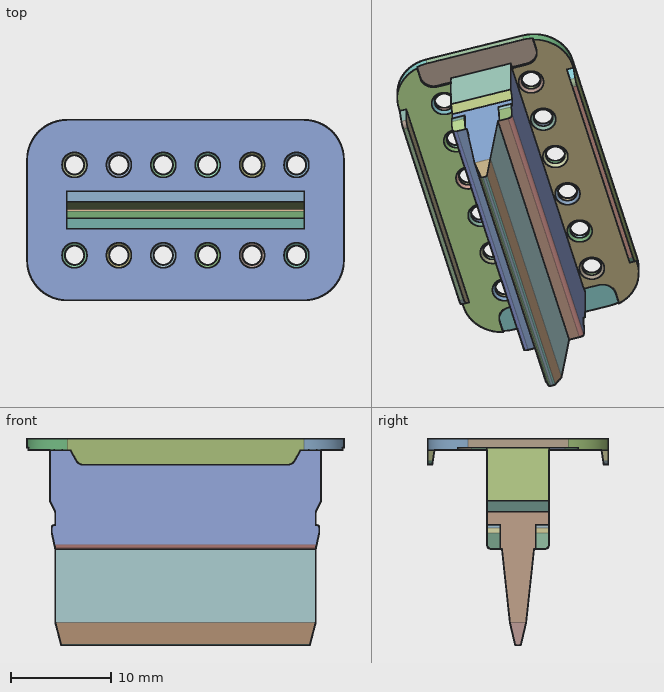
import cadquery as cq

PLATE_LENGTH = 31.6
PLATE_WIDTH = 18.0
PLATE_THICKNESS = 1.15
PLATE_CORNER_RADIUS = 4.0

HOLES_PER_ROW = 6
HOLE_PITCH = 4.42
ROW_SPACING = 9.0
HOLE_DIAMETER = 1.9
COUNTERSINK_DIAMETER = 2.5
COUNTERSINK_ANGLE = 90

RECESS_WIDTH = 12.0
RECESS_DEPTH = 0.25
RECESS_LENGTH = 2.72
RECESS_CORNER_RADIUS = 1.35

LIP_BOTTOM = -2.6
LIP_TOP_HALF_LENGTH = 11.47
LIP_BOTTOM_HALF_LENGTH = 10.65
LIP_ROOT_THICKNESS = 0.7
LIP_EDGE_THICKNESS = 0.47
LIP_CORNER_RADIUS = 0.8

BODY_HALF_LENGTH = 13.52
NECK_HALF_LENGTH = 13.0
BODY_HALF_WIDTH = 3.1
BODY_BOTTOM = -11.0
BODY_EDGE_RADIUS = 0.45
TAPER_TOP = -6.2
TAPER_BOTTOM = -7.3

BLADE_ROOT_HALF_WIDTH = 1.6
BLADE_END_HALF_WIDTH = 0.82
BLADE_SHOULDER = -18.3
TIP_HALF_LENGTH = 12.4
TIP_HALF_WIDTH = 0.3
TIP_BOTTOM = -20.6
TIP_RADIUS = 0.2

CATCH_TOP = -8.55
CATCH_TOP_DROP = 0.1
CATCH_CORNER_RADIUS = 0.3
CATCH_FLAT_BOTTOM = -9.4
CATCH_HALF_LENGTH = 13.35
CATCH_INNER_Y = 1.77

SLOT_LENGTH = 23.65
SLOT_WIDTH = 3.75
SLOT_DEPTH = 9.8
GROOVE_HALF_WIDTH = 0.82
GROOVE_DEPTH = 7.27
GROOVE_ROOT_RADIUS = 0.1


def mirrored_outline(plane, half_outline):
    """Closed outline from the right-hand points and their mirror image."""
    left_points = [(-u, v) for u, v in reversed(half_outline)]
    return cq.Workplane(plane).polyline(half_outline + left_points).close()


def make_plate():
    plate = (
        cq.Workplane("XY")
        .rect(PLATE_LENGTH, PLATE_WIDTH)
        .extrude(-PLATE_THICKNESS)
        .edges("|Z")
        .fillet(PLATE_CORNER_RADIUS)
    )
    for face in (">Z", "<Z"):
        plate = (
            plate.faces(face)
            .workplane(origin=(0, 0, 0))
            .rarray(HOLE_PITCH, ROW_SPACING, HOLES_PER_ROW, 2)
            .cskHole(HOLE_DIAMETER, COUNTERSINK_DIAMETER, COUNTERSINK_ANGLE)
        )
    recesses = (
        cq.Workplane("XY", origin=(0, 0, -PLATE_THICKNESS))
        .pushPoints([(-PLATE_LENGTH / 2, 0), (PLATE_LENGTH / 2, 0)])
        .rect(2 * RECESS_LENGTH, RECESS_WIDTH)
        .extrude(RECESS_DEPTH)
        .edges("|Z")
        .fillet(RECESS_CORNER_RADIUS)
    )
    return plate.cut(recesses)


def make_lip():
    """Lip on the -Y side: a wedge section trimmed to a trapezoid with rounded lower corners."""
    outer_y = -PLATE_WIDTH / 2
    section = (
        cq.Workplane("YZ")
        .polyline([
            (outer_y, -PLATE_THICKNESS),
            (outer_y + LIP_ROOT_THICKNESS, -PLATE_THICKNESS),
            (outer_y + LIP_EDGE_THICKNESS, LIP_BOTTOM),
            (outer_y, LIP_BOTTOM),
        ])
        .close()
        .extrude(LIP_TOP_HALF_LENGTH, both=True)
    )
    trim = (
        mirrored_outline("XZ", [
            (LIP_TOP_HALF_LENGTH, -PLATE_THICKNESS),
            (LIP_BOTTOM_HALF_LENGTH, LIP_BOTTOM),
        ])
        .extrude(PLATE_WIDTH / 2)
        .edges("|Y and <Z")
        .fillet(LIP_CORNER_RADIUS)
    )
    return section.intersect(trim)


def make_body():
    """Block whose ends taper in to the neck, the same length as the blade."""
    return (
        mirrored_outline("XZ", [
            (BODY_HALF_LENGTH, -PLATE_THICKNESS + RECESS_DEPTH),
            (BODY_HALF_LENGTH, TAPER_TOP),
            (NECK_HALF_LENGTH, TAPER_BOTTOM),
            (NECK_HALF_LENGTH, BODY_BOTTOM),
        ])
        .extrude(BODY_HALF_WIDTH, both=True)
    )


def make_catches():
    """Bars reaching past both body ends, split by a gap around the centre plane."""
    bar = (
        mirrored_outline("XZ", [
            (NECK_HALF_LENGTH, CATCH_TOP),
            (CATCH_HALF_LENGTH, CATCH_TOP - CATCH_TOP_DROP),
            (CATCH_HALF_LENGTH, CATCH_FLAT_BOTTOM),
            (NECK_HALF_LENGTH, BODY_BOTTOM),
        ])
        .extrude(BODY_HALF_WIDTH, both=True)
        .faces("<X or >X").edges(">Z")
        .fillet(CATCH_CORNER_RADIUS)
    )
    gap = cq.Workplane("XY").box(PLATE_LENGTH, 2 * CATCH_INNER_Y, PLATE_LENGTH)
    return bar.cut(gap)


def round_lower_edges(block):
    """Intersect with a long bar whose lower long edges carry the body edge radius."""
    envelope = (
        cq.Workplane("XY", origin=(0, 0, BODY_BOTTOM))
        .rect(PLATE_LENGTH, 2 * BODY_HALF_WIDTH)
        .extrude(-BODY_BOTTOM)
        .edges("|X and <Z")
        .fillet(BODY_EDGE_RADIUS)
    )
    return block.intersect(envelope)


def make_blade():
    cross_section = (
        mirrored_outline("YZ", [
            (BLADE_ROOT_HALF_WIDTH, BODY_BOTTOM),
            (BLADE_END_HALF_WIDTH, BLADE_SHOULDER),
            (TIP_HALF_WIDTH, TIP_BOTTOM),
        ])
        .extrude(NECK_HALF_LENGTH, both=True)
        .edges("|X and <Z")
        .fillet(TIP_RADIUS)
    )
    side_outline = (
        mirrored_outline("XZ", [
            (NECK_HALF_LENGTH, BODY_BOTTOM),
            (NECK_HALF_LENGTH, BLADE_SHOULDER),
            (TIP_HALF_LENGTH, TIP_BOTTOM),
        ])
        .extrude(BODY_HALF_WIDTH, both=True)
    )
    return cross_section.intersect(side_outline)


def make_slot():
    """Slot with a stepped floor; the V groove below the step narrows to a rounded root inside the blade."""
    section = [
        (-SLOT_WIDTH / 2, 0),
        (-SLOT_WIDTH / 2, -SLOT_DEPTH),
        (-GROOVE_HALF_WIDTH, -SLOT_DEPTH),
        (0, -SLOT_DEPTH - GROOVE_DEPTH),
        (GROOVE_HALF_WIDTH, -SLOT_DEPTH),
        (SLOT_WIDTH / 2, -SLOT_DEPTH),
        (SLOT_WIDTH / 2, 0),
    ]
    return (
        cq.Workplane("YZ")
        .polyline(section)
        .close()
        .extrude(SLOT_LENGTH / 2, both=True)
        .edges("|X and <Z")
        .fillet(GROOVE_ROOT_RADIUS)
    )


lip = make_lip()
shank = round_lower_edges(make_body().union(make_catches()))
result = (
    make_plate()
    .union(lip)
    .union(lip.mirror("XZ"))
    .union(shank)
    .union(make_blade())
    .cut(make_slot())
)